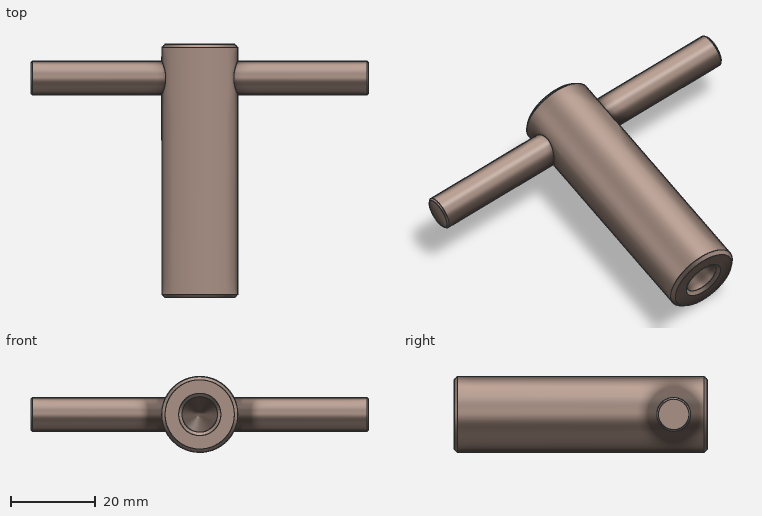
import cadquery as cq
import math

body_diameter = 18.0
body_length = 60.0
body_chamfer = 0.8

bar_diameter = 8.0
bar_length = 80.0
bar_chamfer = 0.4
bar_end_distance = 8.0

hole_diameter = 8.4
hole_depth = 24.0
mouth_diameter = 10.0
drill_point_angle = 118.0


def make_body():
    """Chamfered cylinder from Y = 0 to Y = body_length."""
    cylinder = cq.Workplane("XZ").circle(body_diameter / 2).extrude(-body_length)
    return cylinder.faces("<Y or >Y").chamfer(body_chamfer)


def make_bar():
    """Chamfered cross bar, centred on the body axis."""
    bar = cq.Workplane("YZ").circle(bar_diameter / 2).extrude(bar_length / 2, both=True)
    bar = bar.faces("<X or >X").chamfer(bar_chamfer)
    return bar.translate((0, body_length - bar_end_distance, 0))


def make_hole():
    """Drilled hole as a revolved half profile about the Y axis."""
    hole_radius = hole_diameter / 2
    mouth_radius = mouth_diameter / 2
    mouth_depth = mouth_radius - hole_radius
    point_depth = hole_radius / math.tan(math.radians(drill_point_angle / 2))
    profile = [
        (0, 0),
        (mouth_radius, 0),
        (hole_radius, mouth_depth),
        (hole_radius, hole_depth),
        (0, hole_depth + point_depth),
    ]
    return cq.Workplane("XY").polyline(profile).close().revolve(360, (0, 0), (0, 1))


result = make_body().union(make_bar()).cut(make_hole())